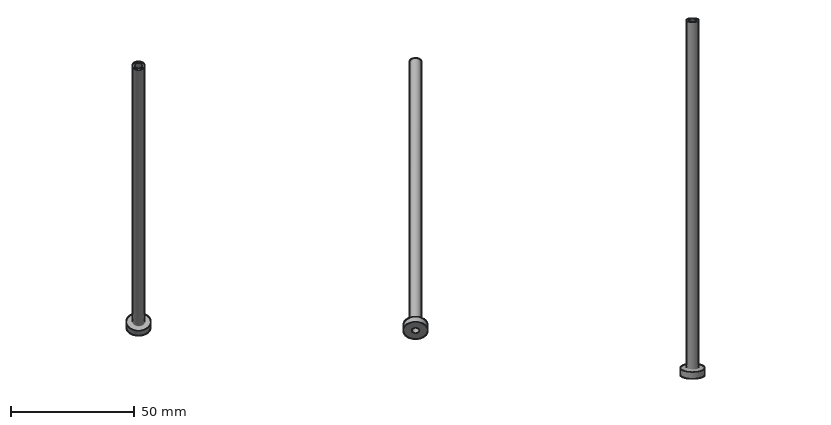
import cadquery as cq

HEAD_DIAMETER = 10.0
HEAD_HEIGHT = 3.0
SHAFT_DIAMETER = 5.0
SHAFT_LENGTH = 150.0
BORE_DIAMETER = 3.0
ROOT_FILLET_RADIUS = 0.3

TOTAL_LENGTH = HEAD_HEIGHT + SHAFT_LENGTH


def make_sleeve():
    """Revolve the half section, drawn on the -X side, around the Z axis."""
    head_radius = HEAD_DIAMETER / 2
    shaft_radius = SHAFT_DIAMETER / 2
    bore_radius = BORE_DIAMETER / 2
    fillet_top = HEAD_HEIGHT + ROOT_FILLET_RADIUS
    fillet_foot = shaft_radius + ROOT_FILLET_RADIUS

    half_section = (
        cq.Workplane("XZ")
        .moveTo(-bore_radius, 0)
        .lineTo(-head_radius, 0)
        .lineTo(-head_radius, HEAD_HEIGHT)
        .lineTo(-fillet_foot, HEAD_HEIGHT)
        .radiusArc((-shaft_radius, fillet_top), -ROOT_FILLET_RADIUS)
        .lineTo(-shaft_radius, TOTAL_LENGTH)
        .lineTo(-bore_radius, TOTAL_LENGTH)
        .close()
    )
    return half_section.revolve(360, (0, 0, 0), (0, 1, 0))


result = make_sleeve()